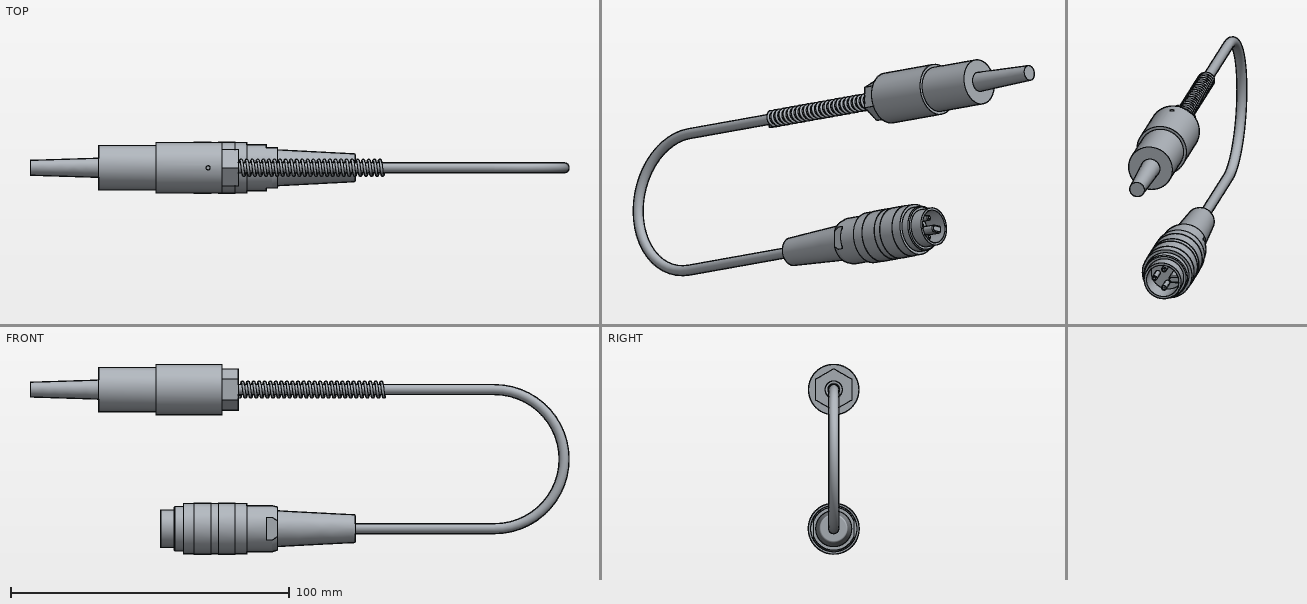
import cadquery as cq
import math

overall_length = 193.8
axis_distance = 50.0
plug_axis_z = -axis_distance

tip_end_diameter = 5.5
tip_base_diameter = 7.0
tip_length = 24.6

housing_front_diameter = 16.0
housing_rear_diameter = 18.2
housing_step_x = 45.2
housing_rear_x = 69.0
vent_diameter = 1.5
vent_depth = 2.0
vent_x = 64.0

nut_across_flats = 13.0
nut_thickness = 5.8
nut_rear_x = housing_rear_x + nut_thickness

cable_diameter = 3.7
bend_radius = axis_distance / 2
bend_x = overall_length - bend_radius - cable_diameter / 2

spring_wire_diameter = 1.0
spring_outer_diameter = 6.2
spring_end_x = 127.7
spring_turns = 26
spring_radius = (spring_outer_diameter - spring_wire_diameter) / 2

plug_front_x = 46.9
plug_nose_diameter = 13.5
plug_shoulder_x = 51.7
plug_shoulder_diameter = 16.0
plug_barrel_diameter = 16.7
plug_rear_x = 89.0
plug_front_chamfer = 0.4
plug_rear_chamfer_length = 2.0
plug_rear_chamfer_depth = 0.5
flat_length = 4.0
flat_distance = 14.5

socket_diameter = 11.8
socket_depth = 8.7
contact_diameter = 1.8
contact_chamfer = 0.4
contact_circle_radius = 3.5
contact_recess = 2.1
contact_angles = (0, 90, 180)
key_width = 2.5
key_inner_offset = 1.7

sleeve_front_x = 55.0
sleeve_rear_x = 77.9
sleeve_diameter = 18.2
band_diameter = 18.5
band_length = 6.0
band_starts = (59.0, 67.6)

boot_front_diameter = 13.0
boot_rear_diameter = 10.0
boot_rear_x = 116.8
boot_edge_radius = 0.5


def cylinder(start_x, end_x, diameter, axis_z=0.0):
    """Solid cylinder along X between two X positions."""
    plane = cq.Workplane("YZ", origin=(start_x, 0, axis_z))
    return plane.circle(diameter / 2).extrude(end_x - start_x)


def cone(start_x, end_x, start_diameter, end_diameter, axis_z=0.0):
    """Truncated cone along X between two X positions."""
    plane = cq.Workplane("YZ", origin=(start_x, 0, axis_z)).circle(start_diameter / 2)
    return plane.workplane(offset=end_x - start_x).circle(end_diameter / 2).loft(ruled=True)


def make_tip():
    return cone(0, tip_length, tip_end_diameter, tip_base_diameter)


def make_housing():
    front = cylinder(tip_length, housing_step_x, housing_front_diameter)
    rear = cylinder(housing_step_x, housing_rear_x, housing_rear_diameter)
    vent_floor_z = housing_rear_diameter / 2 - vent_depth
    vent = (
        cq.Workplane("XY", origin=(vent_x, 0, vent_floor_z))
        .circle(vent_diameter / 2)
        .extrude(2 * vent_depth)
    )
    return front.union(rear).cut(vent)


def make_nut():
    across_corners = nut_across_flats / math.cos(math.pi / 6)
    return (
        cq.Workplane("YZ", origin=(housing_rear_x, 0, 0))
        .transformed(rotate=(0, 0, 90))
        .polygon(6, across_corners)
        .circle(cable_diameter / 2)
        .extrude(nut_thickness)
    )


def make_spring():
    """Right-handed coil from the nut face, starting and ending below the cable."""
    coil_length = spring_end_x - nut_rear_x - spring_wire_diameter
    helix = cq.Wire.makeHelix(coil_length / spring_turns, coil_length, spring_radius)
    coil = (
        cq.Workplane("XZ")
        .center(spring_radius, 0)
        .circle(spring_wire_diameter / 2)
        .sweep(cq.Workplane(helix), isFrenet=True)
    )
    coil_start_x = nut_rear_x + spring_wire_diameter / 2
    return coil.rotate((0, 0, 0), (0, 1, 0), 90).translate((coil_start_x, 0, 0))


def make_cable():
    """Cable from the housing, round the bend and through the boot to the plug."""
    path = (
        cq.Workplane("XZ")
        .moveTo(housing_rear_x, 0)
        .lineTo(bend_x, 0)
        .threePointArc((bend_x + bend_radius, -bend_radius), (bend_x, plug_axis_z))
        .lineTo(plug_rear_x, plug_axis_z)
    )
    section = cq.Workplane("YZ", origin=(housing_rear_x, 0, 0)).circle(cable_diameter / 2)
    return section.sweep(path)


def make_contact(angle):
    """Round pin from the socket floor towards the plug face; angle runs from +Z towards +Y."""
    y = contact_circle_radius * math.sin(math.radians(angle))
    z = contact_circle_radius * math.cos(math.radians(angle))
    pin = cylinder(plug_front_x + contact_recess, plug_front_x + socket_depth, contact_diameter, plug_axis_z)
    pin = pin.faces("<X").chamfer(contact_chamfer)
    return pin.translate((0, y, z))


def make_key():
    """Round-ended rib from inside the socket wall on the -Y side, as long as the contacts."""
    wall_offset = (socket_diameter + plug_nose_diameter) / 4
    end_centre = key_inner_offset + key_width / 2
    plane = cq.Workplane("YZ", origin=(plug_front_x + contact_recess, 0, plug_axis_z))
    length = socket_depth - contact_recess
    round_end = plane.center(-end_centre, 0).circle(key_width / 2).extrude(length)
    rib_length = wall_offset - end_centre
    rib = plane.center(-end_centre - rib_length / 2, 0).rect(rib_length, key_width).extrude(length)
    return round_end.union(rib).faces("<X").chamfer(contact_chamfer)


def make_plug():
    nose = cylinder(plug_front_x, plug_shoulder_x, plug_nose_diameter, plug_axis_z)
    chamfer_x = plug_rear_x - plug_rear_chamfer_length
    shoulder = cylinder(plug_shoulder_x, sleeve_rear_x, plug_shoulder_diameter, plug_axis_z)
    shoulder = shoulder.faces("<X").chamfer(plug_front_chamfer)
    barrel = cylinder(sleeve_rear_x, chamfer_x, plug_barrel_diameter, plug_axis_z)
    rear_diameter = plug_barrel_diameter - 2 * plug_rear_chamfer_depth
    rear = cone(chamfer_x, plug_rear_x, plug_barrel_diameter, rear_diameter, plug_axis_z)
    plug = nose.union(shoulder).union(barrel).union(rear)

    for side in (-1, 1):
        flat_cutter = cq.Workplane("XY").box(flat_length, flat_distance, plug_barrel_diameter)
        flat_x = plug_rear_x - flat_length / 2
        plug = plug.cut(flat_cutter.translate((flat_x, side * flat_distance, plug_axis_z)))

    plug = plug.cut(cylinder(plug_front_x, plug_front_x + socket_depth, socket_diameter, plug_axis_z))
    for angle in contact_angles:
        plug = plug.union(make_contact(angle))
    return plug.union(make_key())


def make_sleeve():
    sleeve = cylinder(sleeve_front_x, sleeve_rear_x, sleeve_diameter, plug_axis_z)
    for start_x in band_starts:
        sleeve = sleeve.union(cylinder(start_x, start_x + band_length, band_diameter, plug_axis_z))
    return sleeve.cut(cylinder(sleeve_front_x, sleeve_rear_x, plug_shoulder_diameter, plug_axis_z))


def make_boot():
    boot = cone(plug_rear_x, boot_rear_x, boot_front_diameter, boot_rear_diameter, plug_axis_z)
    boot = boot.faces(">X").edges().fillet(boot_edge_radius)
    return boot.cut(cylinder(plug_rear_x, boot_rear_x, cable_diameter, plug_axis_z))


tip = make_tip()
housing = make_housing()
nut = make_nut()
spring = make_spring()
cable = make_cable()
plug = make_plug()
sleeve = make_sleeve()
boot = make_boot()

result = cq.Compound.makeCompound(
    [
        tip.val(),
        housing.val(),
        nut.val(),
        spring.val(),
        cable.val(),
        plug.val(),
        sleeve.val(),
        boot.val(),
    ]
)